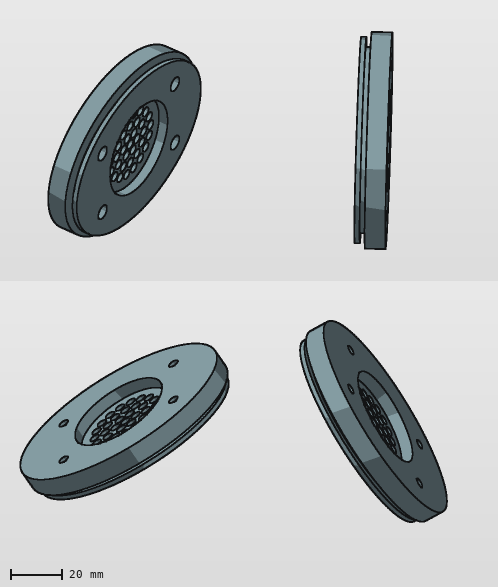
import cadquery as cq
import math

PLATE_LENGTH = 89.9
PLATE_HEIGHT = 70.0
PLATE_THICKNESS = 8.0
TURN_ANGLE = 50

NECK_INSET = 6.0
NECK_THICKNESS = 2.0
FLANGE_INSET = 2.0
FLANGE_THICKNESS = 2.0
TOTAL_THICKNESS = PLATE_THICKNESS + NECK_THICKNESS + FLANGE_THICKNESS

RECESS_DIAMETER = 39.8
FRONT_RECESS_DEPTH = 5.0
WEB_THICKNESS = 3.0
REAR_RECESS_DEPTH = TOTAL_THICKNESS - FRONT_RECESS_DEPTH - WEB_THICKNESS

PERFORATION_DIAMETER = 4.0
RING_PITCH = 4.65
HOLES_PER_RING_STEP = 6
RING_START_ANGLES = (5, 0, 0)

MOUNT_SPACING_LONG = 50.0
MOUNT_SPACING_HIGH = 30.0
MOUNT_DIAMETER = 4.0
COUNTERBORE_DIAMETER = 6.0
MOUNT_SEAT_THICKNESS = 2.0

turn = math.radians(TURN_ANGLE)
front_plane = cq.Plane(
    origin=(0, 0, 0),
    xDir=(math.cos(turn), -math.sin(turn), 0),
    normal=(-math.sin(turn), -math.cos(turn), 0),
)


def face_at(depth):
    """Workplane parallel to the front face, the given depth behind it."""
    return cq.Workplane(front_plane).workplane(offset=-depth)


def elliptical_layer(inset, depth, thickness):
    """Elliptical slab whose edge lies inside the plate edge by the inset."""
    half_length = PLATE_LENGTH / 2 - inset
    half_height = PLATE_HEIGHT / 2 - inset
    return face_at(depth).ellipse(half_length, half_height).extrude(-thickness)


def round_cuts(points, diameter, depth, length):
    """Cylinders starting at the given depth and running towards the rear."""
    return face_at(depth).pushPoints(points).circle(diameter / 2).extrude(-length)


def perforation_points():
    points = [(0, 0)]
    for ring, start_angle in enumerate(RING_START_ANGLES, start=1):
        count = HOLES_PER_RING_STEP * ring
        radius = RING_PITCH * ring
        for index in range(count):
            angle = math.radians(start_angle + 360 * index / count)
            points.append((radius * math.cos(angle), radius * math.sin(angle)))
    return points


plate = elliptical_layer(0, 0, PLATE_THICKNESS)
neck = elliptical_layer(NECK_INSET, PLATE_THICKNESS, NECK_THICKNESS)
flange = elliptical_layer(FLANGE_INSET, PLATE_THICKNESS + NECK_THICKNESS, FLANGE_THICKNESS)
body = plate.union(neck).union(flange)

centre = [(0, 0)]
rear_recess_start = FRONT_RECESS_DEPTH + WEB_THICKNESS
body = body.cut(round_cuts(centre, RECESS_DIAMETER, 0, FRONT_RECESS_DEPTH))
body = body.cut(round_cuts(centre, RECESS_DIAMETER, rear_recess_start, REAR_RECESS_DEPTH))

body = body.cut(
    round_cuts(perforation_points(), PERFORATION_DIAMETER, FRONT_RECESS_DEPTH, WEB_THICKNESS)
)

half_long = MOUNT_SPACING_LONG / 2
half_high = MOUNT_SPACING_HIGH / 2
mount_points = [(x * half_long, y * half_high) for x in (-1, 1) for y in (-1, 1)]
body = body.cut(round_cuts(mount_points, MOUNT_DIAMETER, 0, TOTAL_THICKNESS))
counterbore_depth = TOTAL_THICKNESS - MOUNT_SEAT_THICKNESS
body = body.cut(
    round_cuts(mount_points, COUNTERBORE_DIAMETER, MOUNT_SEAT_THICKNESS, counterbore_depth)
)

result = body